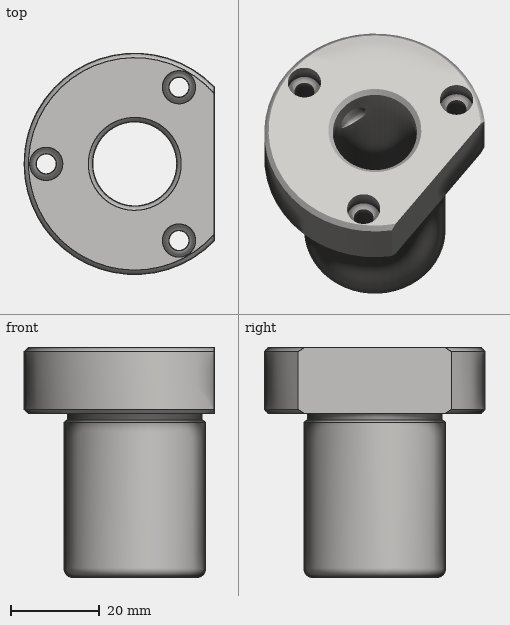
import cadquery as cq
import math

flange_radius = 25.0
flange_thickness = 15.0
flange_chamfer = 1.0
flat_offset = 18.0

total_height = 52.0
body_radius = 16.0
body_end_fillet = 2.0

groove_depth = 0.75
groove_floor_height = 1.4
groove_slope_height = 0.6

bore_radius = 9.5
bore_chamfer = 1.0

bolt_circle_radius = 20.0
bolt_angles = (60.0, 180.0, 300.0)
bolt_hole_diameter = 4.5
counterbore_diameter = 7.5
counterbore_depth = 4.6

port_diameter = 6.9
port_angle = 160.0
port_drop = 9.0

flange_top = flange_thickness
body_bottom = flange_thickness - total_height


def make_flange():
    disc = cq.Workplane("XY").circle(flange_radius).extrude(flange_thickness)
    disc = disc.edges("%CIRCLE").chamfer(flange_chamfer)
    disc_width = 2 * flange_radius
    keep_block = (
        cq.Workplane("XY")
        .center(flat_offset - flange_radius, 0)
        .rect(disc_width, disc_width)
        .extrude(flange_thickness)
    )
    return disc.intersect(keep_block)


def make_body():
    neck_radius = body_radius - groove_depth
    slope_top = -groove_floor_height
    slope_bottom = slope_top - groove_slope_height
    half_profile = (
        cq.Workplane("XZ")
        .moveTo(0, 0)
        .lineTo(neck_radius, 0)
        .lineTo(neck_radius, slope_top)
        .lineTo(body_radius, slope_bottom)
        .lineTo(body_radius, body_bottom)
        .lineTo(0, body_bottom)
        .close()
    )
    body = half_profile.revolve(360, (0, 0, 0), (0, 1, 0))
    return body.faces("<Z").edges().fillet(body_end_fillet)


def cut_bore(part):
    bored = part.cut(
        cq.Workplane("XY").workplane(offset=body_bottom).circle(bore_radius).extrude(total_height)
    )
    mouth_cone = cq.Solid.makeCone(
        bore_radius,
        bore_radius + bore_chamfer,
        bore_chamfer,
        pnt=cq.Vector(0, 0, flange_top - bore_chamfer),
    )
    return bored.cut(cq.Workplane(mouth_cone))


def cut_mounting_holes(part):
    centers = [
        (
            bolt_circle_radius * math.cos(math.radians(angle)),
            bolt_circle_radius * math.sin(math.radians(angle)),
        )
        for angle in bolt_angles
    ]
    holes = (
        cq.Workplane("XY")
        .pushPoints(centers)
        .circle(bolt_hole_diameter / 2)
        .extrude(flange_thickness)
    )
    counterbores = (
        cq.Workplane("XY")
        .workplane(offset=flange_top - counterbore_depth)
        .pushPoints(centers)
        .circle(counterbore_diameter / 2)
        .extrude(counterbore_depth)
    )
    return part.cut(holes).cut(counterbores)


def cut_port(part):
    direction = cq.Vector(
        math.cos(math.radians(port_angle)),
        math.sin(math.radians(port_angle)),
        0,
    )
    port = cq.Solid.makeCylinder(
        port_diameter / 2,
        flange_radius,
        pnt=cq.Vector(0, 0, flange_top - port_drop),
        dir=direction,
    )
    return part.cut(cq.Workplane(port))


part = make_flange().union(make_body())
part = cut_bore(part)
part = cut_mounting_holes(part)
result = cut_port(part)